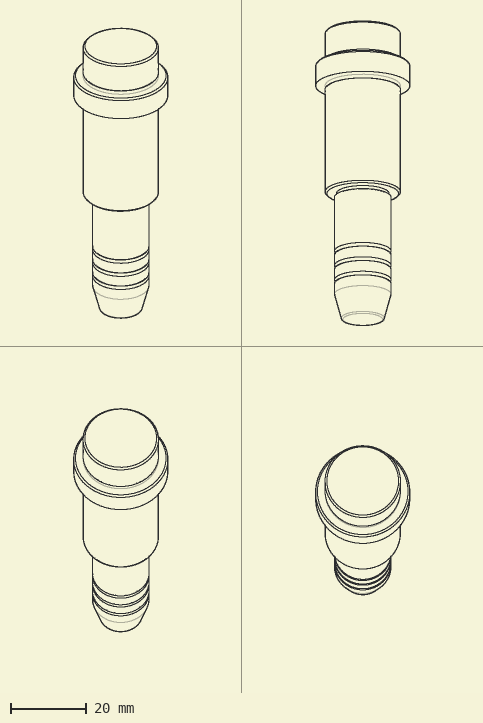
import cadquery as cq
import math

total_height = 80.0
head_bottom = 72.0
flange_top = 71.0
flange_bottom = 65.0
body_top = 64.0
body_bottom = 35.0
neck_bottom = 34.0
nose_height = 7.0

body_diameter = 20.0
flange_diameter = 25.0
shank_diameter = 15.0
neck_diameter = 14.0

chamfer = 0.5
nose_taper_angle = 15.0
nose_fillet = 0.5

groove_radius = 0.5
shank_groove_centers = (18.5, 14.5, 10.5)
head_groove_center = (head_bottom + flange_top) / 2
body_groove_center = (flange_bottom + body_top) / 2


def cylinder(diameter, bottom, top):
    """Solid cylinder on the Z axis between two heights."""
    return cq.Workplane("XY").workplane(offset=bottom).circle(diameter / 2).extrude(top - bottom)


def make_groove(diameter, center):
    """Torus cutter leaving a half-round groove in a cylinder of the given diameter."""
    torus = cq.Solid.makeTorus(diameter / 2, groove_radius, cq.Vector(0, 0, center))
    return cq.Workplane("XY").add(torus)


def make_body():
    """Body and head as one cylinder, chamfered at both ends."""
    return cylinder(body_diameter, body_bottom, total_height).faces("<Z or >Z").edges().chamfer(chamfer)


def make_flange():
    """Collar with a chamfered top rim."""
    return cylinder(flange_diameter, flange_bottom, flange_top).faces(">Z").edges().chamfer(chamfer)


def make_nose():
    """Tapered nose with a rounded tip rim."""
    tip_radius = shank_diameter / 2 - nose_height * math.tan(math.radians(nose_taper_angle))
    cone = cq.Workplane("XY").add(cq.Solid.makeCone(tip_radius, shank_diameter / 2, nose_height))
    return cone.faces("<Z").edges().fillet(nose_fillet)


def make_shank():
    """Shank with a slimmer neck under the body and grooves near the nose."""
    shank = cylinder(shank_diameter, nose_height, neck_bottom)
    for center in shank_groove_centers:
        shank = shank.cut(make_groove(shank_diameter, center))
    neck = cylinder(neck_diameter, neck_bottom, body_bottom)
    return shank.union(neck)


result = make_nose().union(make_shank()).union(make_body()).union(make_flange())

for groove_center in (head_groove_center, body_groove_center):
    result = result.cut(make_groove(body_diameter, groove_center))